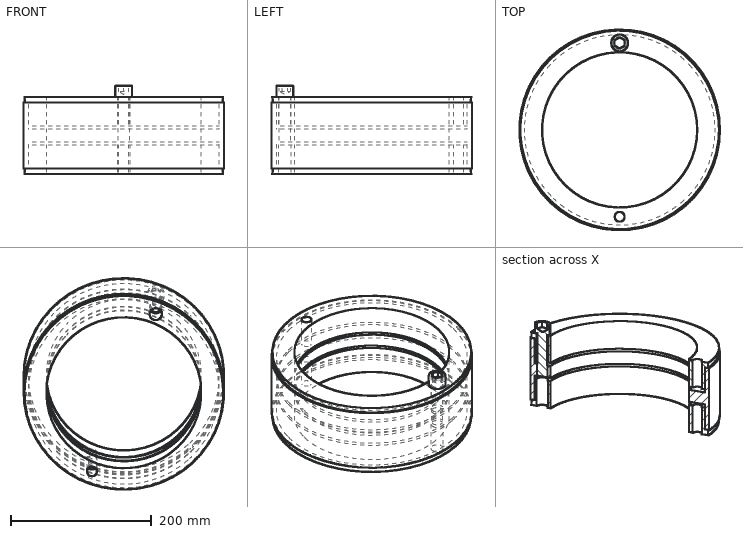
import cadquery as cq
import math

outer_diameter = 285.0
bore_diameter = 220.0
ring_height = 110.0

plate_thickness = 8.0
plate_outer_diameter = 282.7
plate_inner_diameter = 281.3
spigot_diameter = 270.8
spigot_depth = 41.5
packing_gap = 4.0

bolt_circle_radius = 123.5
clearance_diameter = 17.5
jacking_hole_diameter = 14.0

shank_diameter = 16.0
head_diameter = 24.0
head_height = 16.0
head_edge_radius = 1.7
socket_across_flats = 14.0
socket_depth = 8.0
socket_tip_angle = 120.0

mid_height = ring_height / 2
housing_height = ring_height - 2 * plate_thickness
counterbore_depth = spigot_depth + packing_gap
land_bottom = counterbore_depth
land_top = ring_height - counterbore_depth
land_thickness = land_top - land_bottom
shank_length = ring_height - land_bottom


def cylinder(diameter, bottom, height, y=0.0):
    """Upright cylinder centred at X = 0 and the given Y."""
    return cq.Workplane("XY").workplane(offset=bottom).center(0, y).circle(diameter / 2).extrude(height)


def make_housing():
    """Sleeve with a central inner land between two spigot counterbores."""
    body = cylinder(outer_diameter, plate_thickness, housing_height)
    body = body.cut(cylinder(bore_diameter, 0, ring_height))
    body = body.cut(cylinder(spigot_diameter, 0, counterbore_depth))
    body = body.cut(cylinder(spigot_diameter, land_top, counterbore_depth))
    return body.cut(cylinder(shank_diameter, land_bottom, land_thickness, bolt_circle_radius))


def make_top_gland():
    """Tapered end plate and spigot, with a screw hole and a jacking hole."""
    spigot_end = ring_height - spigot_depth
    plate_bottom = ring_height - plate_thickness
    body = (
        cq.Workplane("XZ")
        .moveTo(bore_diameter / 2, spigot_end)
        .lineTo(spigot_diameter / 2, spigot_end)
        .lineTo(spigot_diameter / 2, plate_bottom)
        .lineTo(plate_inner_diameter / 2, plate_bottom)
        .lineTo(plate_outer_diameter / 2, ring_height)
        .lineTo(bore_diameter / 2, ring_height)
        .close()
        .revolve(360, (0, 0), (0, 1))
    )
    body = body.cut(cylinder(clearance_diameter, spigot_end, spigot_depth, bolt_circle_radius))
    return body.cut(cylinder(jacking_hole_diameter, spigot_end, spigot_depth, -bolt_circle_radius))


def make_socket():
    """Hexagonal socket with corners on Y and a conical floor."""
    corner_radius = socket_across_flats / math.sqrt(3)
    tip_depth = corner_radius / math.tan(math.radians(socket_tip_angle / 2))
    top = ring_height + head_height
    hexagon = (
        cq.Workplane("XY")
        .workplane(offset=top)
        .polygon(6, 2 * corner_radius)
        .extrude(-(socket_depth + tip_depth))
        .rotate((0, 0, 0), (0, 0, 1), 90)
    )
    pointed_drill = (
        cq.Workplane("XZ")
        .moveTo(0, top)
        .lineTo(corner_radius, top)
        .lineTo(corner_radius, top - socket_depth)
        .lineTo(0, top - socket_depth - tip_depth)
        .close()
        .revolve(360, (0, 0), (0, 1))
    )
    return hexagon.intersect(pointed_drill).translate((0, bolt_circle_radius, 0))


def make_screw():
    """Cap screw whose head rests on the top gland."""
    head = cylinder(head_diameter, ring_height, head_height, bolt_circle_radius)
    head = head.faces(">Z").edges().fillet(head_edge_radius)
    shank = cylinder(shank_diameter, land_bottom, shank_length, bolt_circle_radius)
    return head.union(shank).cut(make_socket())


housing = make_housing()
top_gland = make_top_gland()
bottom_gland = top_gland.mirror("XY", (0, 0, mid_height))
screw = make_screw()

result = cq.Compound.makeCompound([housing.val(), top_gland.val(), bottom_gland.val(), screw.val()])